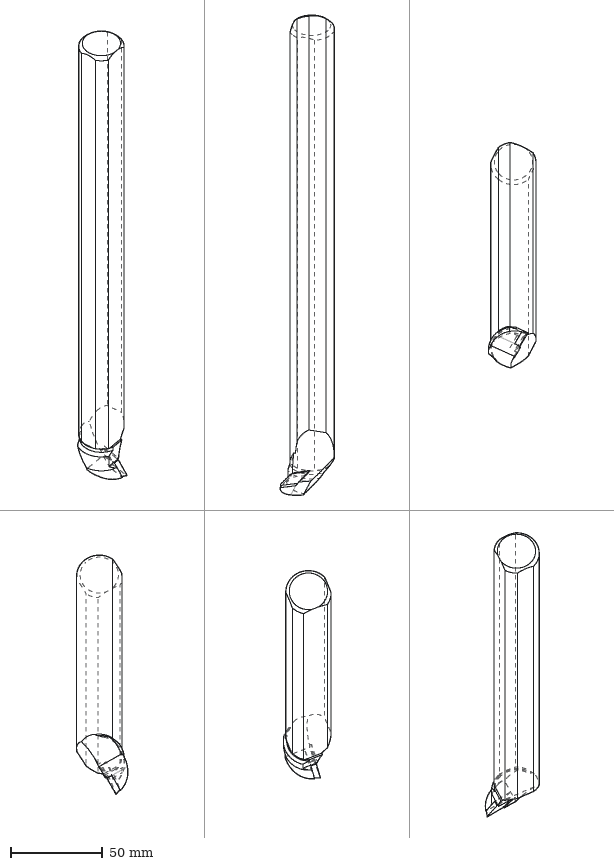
import cadquery as cq
import math


shank_radius = 12.5
side_flat = 11.5
clamp_flat = 10.35
top_chamfer = 2.0
bottom_chamfer = 0.5
shank_top = 301.25
shank_bottom = 19.9

tip_x = 17.89
tip_radius = 0.4
tip_angle = 35.0
end_edge_angle = 17.5
edge_length = 11.07
insert_thickness = 3.18
insert_relief = 7.0

neck_radius = shank_radius - bottom_chamfer
neck_bottom = 17.7
head_radius = 13.77
flare_bottom = 15.9
skirt_top = 5.9
skirt_angle = 34.0
head_side = 11.3
heel_x = 0.7
back_slope_top = 21.6

face_y = 0.7
hollow_radius = 37.0
hollow_bottom = 5.0

margin = 10.0
reach = shank_radius + margin


def y_prism(points, y_from, y_to):
    """Prism of an XZ outline between two Y positions."""
    return cq.Workplane("XZ", origin=(0, y_from, 0)).polyline(points).close().extrude(y_from - y_to)


def direction(angle):
    """X and Z parts of a unit step along a line at this angle from the X axis."""
    return math.cos(math.radians(angle)), math.sin(math.radians(angle))


half_tip_sine = math.sin(math.radians(tip_angle / 2))
axis_x, axis_z = direction(end_edge_angle + tip_angle / 2)
end_x, end_z = direction(end_edge_angle)
side_x, side_z = direction(end_edge_angle + tip_angle)

corner_setback = tip_radius / half_tip_sine
corner_x = tip_x - tip_radius + corner_setback * axis_x
corner_z = tip_radius - corner_setback * axis_z

end_corner = (corner_x - edge_length * end_x, corner_z + edge_length * end_z)
side_corner = (corner_x - edge_length * side_x, corner_z + edge_length * side_z)
far_corner = (end_corner[0] + side_corner[0] - corner_x, end_corner[1] + side_corner[1] - corner_z)
insert_outline = [(corner_x, corner_z), side_corner, far_corner, end_corner]

heel_z = corner_z + (corner_x - heel_x) * end_z / end_x
slope_run = (heel_x + shank_radius) / (back_slope_top - heel_z)


def back_slope_x(z):
    return heel_x - (z - heel_z) * slope_run


def make_insert():
    """Insert with flanks that slope inwards below the cutting edges and a rounded tip."""
    blank = (
        cq.Workplane("XZ")
        .polyline(insert_outline)
        .close()
        .extrude(insert_thickness, taper=insert_relief)
    )
    tip = cq.selectors.NearestToPointSelector((corner_x, -insert_thickness / 2, corner_z))
    return blank.edges(tip).fillet(tip_radius)


def make_shank():
    """Round shank, chamfered at both ends, with flats on +Y, -Y and +X."""
    length = shank_top - shank_bottom
    base = cq.Workplane("XY", origin=(0, 0, shank_bottom))
    rod = base.circle(shank_radius).extrude(length)
    rod = rod.faces(">Z").chamfer(top_chamfer)
    rod = rod.faces("<Z").chamfer(bottom_chamfer)
    flats = (
        base.center((clamp_flat - shank_radius) / 2, 0)
        .rect(clamp_flat + shank_radius, 2 * side_flat)
        .extrude(length)
    )
    return rod.intersect(flats)


def make_head():
    """Turned head, trimmed to the outline that carries the insert."""
    flank_offset = insert_thickness * math.tan(math.radians(insert_relief))
    nose_setback = flank_offset / half_tip_sine
    nose_x = corner_x - nose_setback * axis_x
    nose_z = corner_z + nose_setback * axis_z
    outline = [
        (nose_x, nose_z),
        (head_side, nose_z + (nose_x - head_side) * side_z / side_x),
        (head_side, shank_bottom),
        (back_slope_x(shank_bottom), shank_bottom),
        (heel_x, heel_z),
        (end_corner[0] + flank_offset * end_z, end_corner[1] + flank_offset * end_x),
    ]
    skirt_radius = head_radius + skirt_top * math.tan(math.radians(skirt_angle))
    profile = [
        (0, 0),
        (skirt_radius, 0),
        (head_radius, skirt_top),
        (head_radius, flare_bottom),
        (neck_radius, neck_bottom),
        (neck_radius, shank_bottom),
        (0, shank_bottom),
    ]
    turned = cq.Workplane("XZ").polyline(profile).close().revolve(360, (0, 0, 0), (0, 1, 0))
    return turned.intersect(y_prism(outline, -reach, reach))


def back_slope():
    """Space behind the slope that leads from the shank down to the heel."""
    low = heel_z - margin
    high = back_slope_top + margin
    points = [(back_slope_x(low), low), (back_slope_x(high), high), (back_slope_x(high), low)]
    return y_prism(points, -reach, reach)


def hollow():
    """Space beside the flat +Y face, running out through the shank along an arc."""
    def on_arc(angle):
        y = face_y + hollow_radius * (1 - math.cos(angle))
        return y, hollow_bottom + hollow_radius * math.sin(angle)

    end_angle = math.acos(1 - (reach - face_y) / hollow_radius)
    return (
        cq.Workplane("YZ", origin=(-reach, 0, 0))
        .moveTo(face_y, -margin)
        .lineTo(face_y, hollow_bottom)
        .threePointArc(on_arc(end_angle / 2), on_arc(end_angle))
        .lineTo(reach, -margin)
        .close()
        .extrude(2 * reach)
    )


def insert_clearance():
    """Space over the insert's top face and beside its nose."""
    over = y_prism(insert_outline, 0, reach)
    nose_side = [(head_side, -margin), (head_side, shank_bottom), (tip_x + margin, -margin)]
    beside = y_prism(nose_side, -insert_thickness, reach)
    return over.union(beside)


insert = make_insert()

bar = make_shank().union(make_head())
bar = bar.cut(back_slope()).cut(hollow())
bar = bar.cut(insert_clearance()).cut(insert)

result = cq.Compound.makeCompound([*bar.solids().vals(), *insert.solids().vals()])